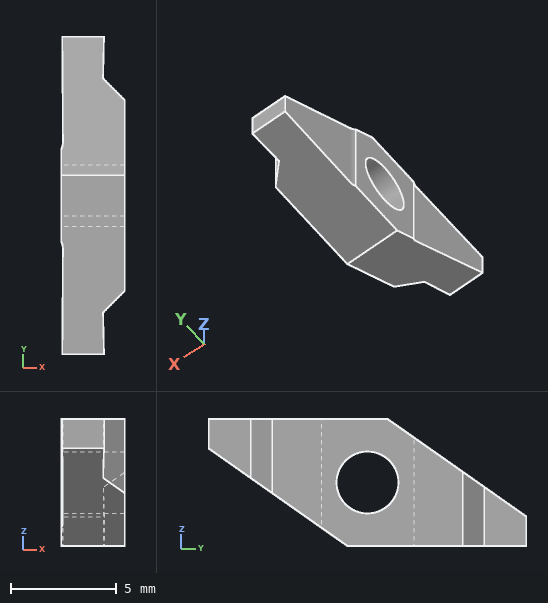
import cadquery as cq
import math

thickness = 3.0
length = 15.0
height = 6.0
half_length = length / 2

tip_height = 1.4
ridge_offset = 0.95

pad_half_length = 2.19
relief_half_length = 2.5
relief_depth = 0.08
tip_front_depth = 0.05
middle_half_length = 4.5
wing_root_half_length = 5.52
wing_root_back = 1.98
tip_back = 2.02

hole_diameter = 2.91


def make_side_plate():
    """Plate with sloping flanks, symmetric under a half turn about X."""
    upper_half = [
        (-half_length, height / 2 - tip_height),
        (-half_length, height / 2),
        (ridge_offset, height / 2),
    ]
    lower_half = [(-y, -z) for y, z in upper_half]
    return cq.Workplane("YZ").polyline(upper_half + lower_half).close().extrude(thickness)


def make_end_cutter():
    """Material removed at the +Y end: front relief with a concave step, and the back notch."""
    step_length = relief_half_length - pad_half_length
    step_radius = (step_length**2 + relief_depth**2) / (2 * relief_depth)
    half_sweep = math.asin(step_length / step_radius) / 2
    step_middle = (
        relief_depth - step_radius * (1 - math.cos(half_sweep)),
        relief_half_length - step_radius * math.sin(half_sweep),
    )
    front_relief = (
        cq.Workplane("XY")
        .moveTo(0, pad_half_length)
        .threePointArc(step_middle, (relief_depth, relief_half_length))
        .lineTo(tip_front_depth, half_length)
        .lineTo(0, half_length)
        .close()
        .extrude(height / 2, both=True)
    )
    back_notch = (
        cq.Workplane("XY")
        .moveTo(thickness, middle_half_length)
        .lineTo(wing_root_back, wing_root_half_length)
        .lineTo(tip_back, half_length)
        .lineTo(thickness, half_length)
        .close()
        .extrude(height / 2, both=True)
    )
    return front_relief.union(back_notch)


def make_hole():
    return cq.Workplane("YZ").circle(hole_diameter / 2).extrude(thickness)


end_cutter = make_end_cutter()
result = make_side_plate().cut(make_hole())
result = result.cut(end_cutter).cut(end_cutter.mirror("XZ"))